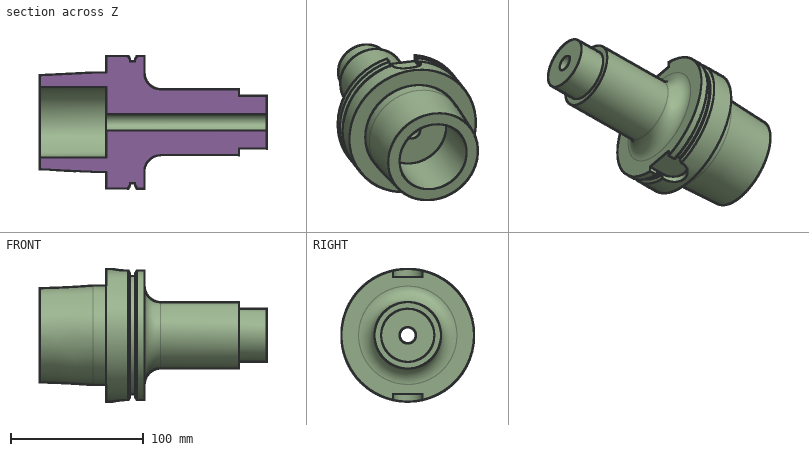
import cadquery as cq
import math

taper_end = 40.0
flange_start = 50.0
flange_end = 79.0
shank_end = 150.0
nose_end = 170.9

taper_mouth_radius = 35.5
taper_base_radius = 37.5
flange_radius = 50.0
shank_radius = 25.0
nose_radius = 20.0
bore_radius = 26.5
coolant_hole_radius = 6.0

fillet_radius = 12.0

groove_centre = 69.9
groove_width = 3.6
groove_floor_radius = 46.0
groove_chamfer_width = 1.5
groove_chamfer_angle = 60.0
groove_chamfer_depth = groove_chamfer_width * math.tan(math.radians(groove_chamfer_angle))

slot_width = 22.0
slot_start = 54.8
slot_floor_height = 44.0

bore_depth = flange_start

full_turn = 360.0


def cylinder(radius, start, end):
    return cq.Workplane("YZ").workplane(offset=start).circle(radius).extrude(end - start)


def make_body():
    """Revolve the taper, flange, shank and nose about the X axis."""
    arc_reach = fillet_radius * (1 - math.sqrt(0.5))
    profile = (
        cq.Workplane("XY")
        .moveTo(0, 0)
        .lineTo(0, taper_mouth_radius)
        .lineTo(taper_end, taper_base_radius)
        .lineTo(flange_start, taper_base_radius)
        .lineTo(flange_start, flange_radius)
        .lineTo(flange_end, flange_radius)
        .lineTo(flange_end, shank_radius + fillet_radius)
        .threePointArc(
            (flange_end + arc_reach, shank_radius + arc_reach),
            (flange_end + fillet_radius, shank_radius),
        )
        .lineTo(shank_end, shank_radius)
        .lineTo(shank_end, nose_radius)
        .lineTo(nose_end, nose_radius)
        .lineTo(nose_end, 0)
        .close()
    )
    return profile.revolve(full_turn, (0, 0, 0), (1, 0, 0))


def make_groove():
    """Ring with a flat floor, straight walls and a chamfered mouth."""
    floor_half = groove_width / 2
    mouth_half = floor_half + groove_chamfer_width
    chamfer_foot = flange_radius - groove_chamfer_depth
    profile = (
        cq.Workplane("XY")
        .moveTo(groove_centre - floor_half, groove_floor_radius)
        .lineTo(groove_centre - floor_half, chamfer_foot)
        .lineTo(groove_centre - mouth_half, flange_radius)
        .lineTo(groove_centre + mouth_half, flange_radius)
        .lineTo(groove_centre + floor_half, chamfer_foot)
        .lineTo(groove_centre + floor_half, groove_floor_radius)
        .close()
    )
    return profile.revolve(full_turn, (0, 0, 0), (1, 0, 0))


def make_slot():
    """Round-ended slot on the +Z side, open through the shank-side flange face."""
    half_width = slot_width / 2
    round_centre = slot_start + half_width
    return (
        cq.Workplane("XY")
        .workplane(offset=slot_floor_height)
        .moveTo(flange_end, -half_width)
        .lineTo(round_centre, -half_width)
        .threePointArc((slot_start, 0), (round_centre, half_width))
        .lineTo(flange_end, half_width)
        .close()
        .extrude(flange_radius - slot_floor_height)
    )


slot = make_slot()
result = (
    make_body()
    .cut(cylinder(bore_radius, 0, bore_depth))
    .cut(cylinder(coolant_hole_radius, bore_depth, nose_end))
    .cut(make_groove())
    .cut(slot)
    .cut(slot.mirror("XY"))
)